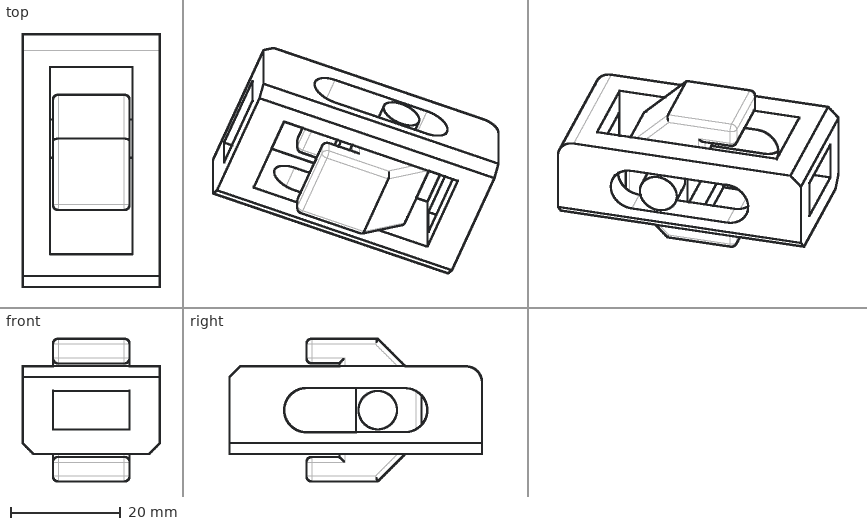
import cadquery as cq

housing_width = 25.0
housing_length = 46.0
housing_height = 16.0
mid_height = housing_height / 2
back_round = 3.0
housing_chamfer = 2.0
end_wall = 6.0
window_width = 15.0
slot_height = 8.0
slot_end_gap = 10.0
end_opening_width = 14.0
end_opening_height = 7.0

slider_width = 14.0
slider_top = 21.0
slider_front = 14.0
slider_back = 35.0
slope_run = 8.0
crease_y = slider_back - slope_run
stem_front = 20.0
hook_underside = 16.5
edge_round = 1.0
relief_depth = 3.0
relief_height = 10.0
pin_diameter = 7.0
pin_length = housing_width


def make_housing():
    """Frame with a window through Z, slots through X and openings through Y."""
    body = cq.Workplane("XY").box(
        housing_width, housing_length, housing_height, centered=(True, False, False)
    )
    body = body.edges(">Y and >Z").fillet(back_round)
    body = body.edges("<Y and >Z").chamfer(housing_chamfer)
    body = body.edges("|Y and <Z").chamfer(housing_chamfer)

    window = cq.Workplane("XY").box(
        window_width, housing_length - 2 * end_wall, housing_height, centered=(True, True, False)
    ).translate((0, housing_length / 2, 0))

    slot = (
        cq.Workplane("YZ")
        .center(housing_length / 2, mid_height)
        .slot2D(housing_length - 2 * slot_end_gap, slot_height)
        .extrude(housing_width / 2, both=True)
    )

    end_openings = cq.Workplane("XY").box(
        end_opening_width, housing_length, end_opening_height, centered=(True, False, True)
    ).translate((0, 0, mid_height))

    return body.cut(window).cut(slot).cut(end_openings)


def make_slider():
    """C-shaped clip with two hooks, a relief in the stem and a cross pin."""
    upper_profile = [
        (stem_front, hook_underside),
        (slider_front, hook_underside),
        (slider_front, slider_top),
        (crease_y, slider_top),
        (slider_back, slider_top - slope_run),
    ]
    lower_profile = [(y, housing_height - z) for y, z in reversed(upper_profile)]
    body = (
        cq.Workplane("YZ")
        .polyline(upper_profile + lower_profile)
        .close()
        .extrude(slider_width / 2, both=True)
    )

    tip_edges = body.faces("<Y").edges("|X")
    side_edges = body.faces("<X or >X").edges()
    body = body.newObject(side_edges.vals() + tip_edges.vals()).fillet(edge_round)

    relief = cq.Workplane("XY").box(
        slider_width, relief_depth, relief_height, centered=(True, False, True)
    ).translate((0, stem_front, mid_height))

    pin = (
        cq.Workplane("YZ")
        .center(crease_y, mid_height)
        .circle(pin_diameter / 2)
        .extrude(pin_length / 2, both=True)
    )
    return body.cut(relief).union(pin)


housing = make_housing()
slider = make_slider()
result = cq.Compound.makeCompound([housing.val(), slider.val()])